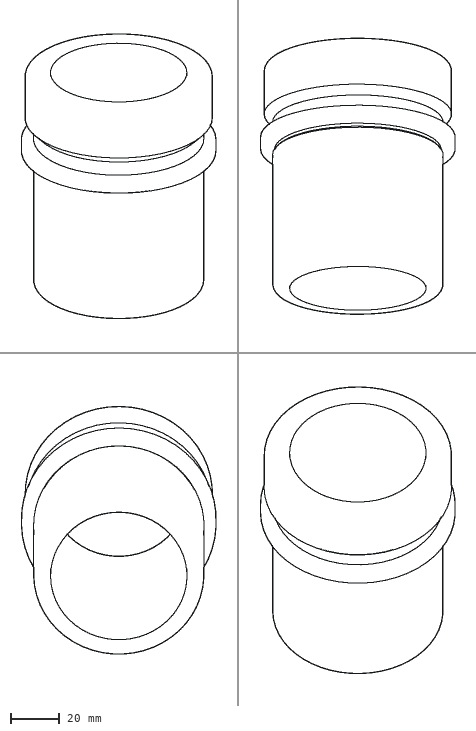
import cadquery as cq

total_height = 96.0
end_fillet = 2.0
bore_radius = 28.0

sleeve_radius = 35.0
sleeve_top = 58.0

groove_depth = 0.7
groove_radius = sleeve_radius - groove_depth

collar_radius = 40.0
collar_bottom = 60.0
collar_thickness = 6.0
collar_top = collar_bottom + collar_thickness
collar_fillet = 0.5

head_radius = 38.5
shoulder_bottom = 72.0
shoulder_top = shoulder_bottom + (head_radius - sleeve_radius)

def make_outer_body():
    """Solid of revolution about Z, before its rims are rounded."""
    profile = [
        (0, 0),
        (sleeve_radius, 0),
        (sleeve_radius, sleeve_top),
        (groove_radius, sleeve_top + groove_depth),
        (groove_radius, collar_bottom),
        (collar_radius, collar_bottom),
        (collar_radius, collar_top),
        (sleeve_radius, collar_top),
        (sleeve_radius, shoulder_bottom),
        (head_radius, shoulder_top),
        (head_radius, total_height),
        (0, total_height),
    ]
    return cq.Workplane("XZ").polyline(profile).close().revolve(360, (0, 0), (0, 1))

def round_ends(body):
    """Round the outer rim at both ends."""
    return body.faces("<Z or >Z").edges().fillet(end_fillet)

def round_collar(body):
    """Round both outer rims of the collar."""
    rims = body.edges(cq.selectors.RadiusNthSelector(-1))
    return rims.fillet(collar_fillet)

def cut_bore(body):
    """Plain bore through the full height."""
    bore = cq.Workplane("XY").circle(bore_radius).extrude(total_height)
    return body.cut(bore)

result = cut_bore(round_collar(round_ends(make_outer_body())))